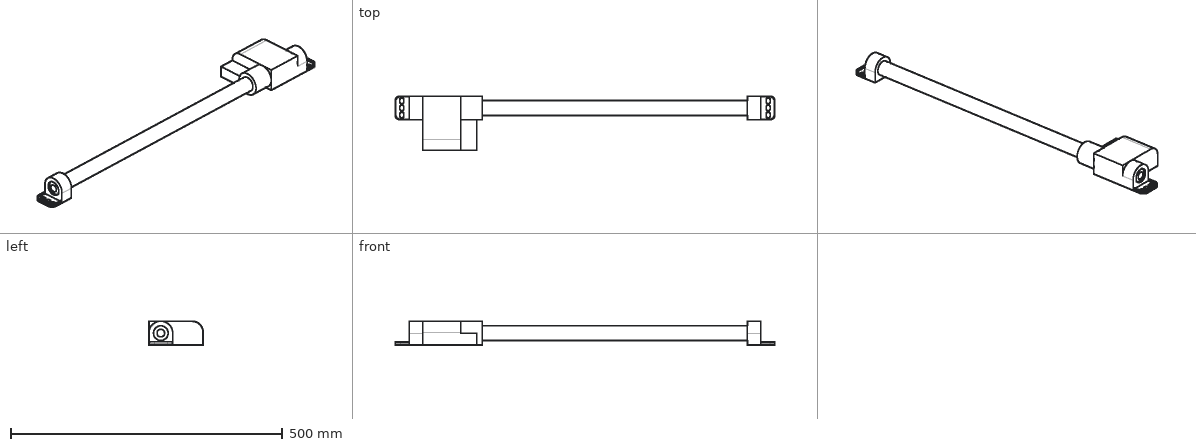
import cadquery as cq

total_length = 700.0
total_width = 100.0
total_height = 44.0

hub_radius = total_height / 2
axis_z = hub_radius
axis_y = total_width - hub_radius

flange_length = 26.0
flange_thickness = 6.0
flange_corner_radius = 10.0
hub_length = 25.0

flange_rim = 1.2
flange_floor = 2.0

slot_width = 7.0
slot_length = 11.0
slot_inset = 12.5
slot_pitch = 13.0
blind_slot_floor = 1.0

bore_radius = 13.5
bore_depth = 4.0
pin_tip_radius = 7.0
pin_tip_depth = 0.5

housing_start = flange_length + hub_length
housing_length = 70.0
housing_edge_radius = 20.0
box_length = 30.0
box_height = axis_z
sleeve_end = 161.0
tube_radius = 14.0

housing_end = housing_start + housing_length


def axis_cylinder(radius, start, end):
    """Cylinder on the drive axis between two X positions."""
    return (
        cq.Workplane("YZ", origin=(start, axis_y, axis_z))
        .circle(radius)
        .extrude(end - start)
    )


def rounded_plate(start, end, half_width, corner_radius, bottom):
    """Plate from a bottom height up to the flange top, rounded at its two outer corners."""
    return (
        cq.Workplane("XY", origin=(start, axis_y, bottom))
        .box(end - start, 2 * half_width, flange_thickness - bottom, centered=(False, True, False))
        .edges("|Z and <X")
        .fillet(corner_radius)
    )


def slot_cutter(offset, bottom):
    """Obround cutter, long along Y, at an offset from the drive axis."""
    return (
        cq.Workplane("XY", origin=(slot_inset, axis_y + offset, bottom))
        .slot2D(slot_length, slot_width, 90)
        .extrude(flange_thickness - bottom)
    )


def mounting_flange():
    """Dished plate from X = 0 to the end of the hub, open between its rim and the hub."""
    plate = rounded_plate(0, flange_length + hub_length, hub_radius, flange_corner_radius, 0)
    dish = rounded_plate(
        flange_rim,
        flange_length,
        hub_radius - flange_rim,
        flange_corner_radius - flange_rim,
        flange_floor,
    )
    plate = plate.cut(dish)
    for offset, bottom in ((-slot_pitch, 0), (0, blind_slot_floor), (slot_pitch, 0)):
        plate = plate.cut(slot_cutter(offset, bottom))
    return plate


def hub():
    """D-shaped block: round top half on a square base, starting where the flange ends."""
    return (
        cq.Workplane("YZ", origin=(flange_length, axis_y, 0))
        .moveTo(-hub_radius, 0)
        .lineTo(hub_radius, 0)
        .lineTo(hub_radius, axis_z)
        .threePointArc((0, total_height), (-hub_radius, axis_z))
        .close()
        .extrude(hub_length)
    )


def pin_groove():
    """Space between the hub bore and the conical end of the pin inside it."""
    return (
        cq.Workplane("XY", origin=(flange_length, axis_y, axis_z))
        .lineTo(0, bore_radius)
        .lineTo(bore_depth, bore_radius)
        .lineTo(pin_tip_depth, pin_tip_radius)
        .lineTo(pin_tip_depth, 0)
        .close()
        .revolve(360, (0, 0, 0), (1, 0, 0))
    )


def end_bracket():
    """Bracket for the X = 0 end."""
    return mounting_flange().union(hub()).cut(pin_groove())


def motor_housing():
    """Housing block with its upper front edge rounded."""
    return (
        cq.Workplane("XY", origin=(housing_start, 0, 0))
        .box(housing_length, total_width, total_height, centered=False)
        .edges("|X and >Z and <Y")
        .fillet(housing_edge_radius)
    )


def connector_box():
    """Low box beside the housing, reaching under the sleeve."""
    return cq.Workplane("XY", origin=(housing_end, 0, 0)).box(
        box_length, axis_y, box_height, centered=False
    )


bracket = end_bracket()
far_bracket = bracket.mirror("YZ").translate((total_length, 0, 0))
tube_end = total_length - flange_length - hub_length

result = (
    motor_housing()
    .union(connector_box())
    .union(axis_cylinder(hub_radius, housing_end, sleeve_end))
    .union(axis_cylinder(tube_radius, sleeve_end, tube_end))
    .union(bracket)
    .union(far_bracket)
)